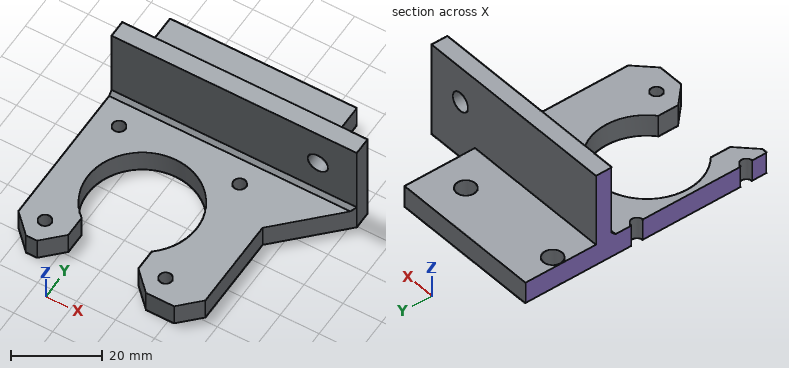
import cadquery as cq

plate_width = 48.0
plate_depth = 68.4
plate_thickness = 6.0
corner_chamfer = 5.0

wall_length = 63.0
wall_thickness = 4.5
wall_top = 26.0
wall_back_y = plate_depth - 20.0
wall_front_y = wall_back_y - wall_thickness
wall_root_chamfer = 1.0
overhang = wall_length - plate_width

motor_x = 21.8
motor_y = 21.3
motor_bore_diameter = 28.0
motor_slot_width = 18.0
screw_spacing = 31.0
screw_diameter = 3.2

fixing_diameter = 5.2
rear_hole_xs = (9.0, 39.0)
rear_hole_y = plate_depth - 10.0
wall_hole_x = 53.0
wall_hole_z = 16.0


def make_plate():
    """Flat plate with a 45 degree gusset under the overhanging wall."""
    outline = [
        (0, 0),
        (plate_width, 0),
        (plate_width, wall_front_y - overhang),
        (wall_length, wall_front_y),
        (wall_length, wall_back_y),
        (plate_width, wall_back_y),
        (plate_width, plate_depth),
        (0, plate_depth),
    ]
    return cq.Workplane("XY").polyline(outline).close().extrude(plate_thickness)


def make_wall():
    """Upright wall with a small sloped root, trimmed to the gusset edge."""
    profile = [
        (wall_back_y, 0),
        (wall_back_y, wall_top),
        (wall_front_y, wall_top),
        (wall_front_y, plate_thickness + wall_root_chamfer),
        (wall_front_y - wall_root_chamfer, plate_thickness),
        (wall_front_y - wall_root_chamfer, 0),
    ]
    wall = cq.Workplane("YZ").polyline(profile).close().extrude(wall_length)
    gusset_trim = (
        cq.Workplane("XY")
        .moveTo(wall_length, wall_front_y)
        .lineTo(wall_length, wall_front_y - overhang)
        .lineTo(plate_width, wall_front_y - overhang)
        .close()
        .extrude(wall_top)
    )
    return wall.cut(gusset_trim)


def cut_motor_opening(body):
    """Round opening joined to the front edge by a slot."""
    bore = (
        cq.Workplane("XY")
        .center(motor_x, motor_y)
        .circle(motor_bore_diameter / 2)
        .extrude(plate_thickness)
    )
    slot = (
        cq.Workplane("XY")
        .center(motor_x, motor_y / 2)
        .rect(motor_slot_width, motor_y)
        .extrude(plate_thickness)
    )
    return body.cut(bore.union(slot))


def chamfer_leg_tips(body):
    """Cut 45 degree corners on both sides of each front leg."""
    slot_left = motor_x - motor_slot_width / 2
    slot_right = motor_x + motor_slot_width / 2
    corners = [(0, 1), (slot_left, -1), (slot_right, 1), (plate_width, -1)]
    for corner_x, inward in corners:
        wedge = (
            cq.Workplane("XY")
            .moveTo(corner_x, 0)
            .lineTo(corner_x + inward * corner_chamfer, 0)
            .lineTo(corner_x, corner_chamfer)
            .close()
            .extrude(plate_thickness)
        )
        body = body.cut(wedge)
    return body


def drill_holes(body):
    """Motor screw holes, rear fixing holes and the hole through the wall."""
    screws = (
        cq.Workplane("XY")
        .center(motor_x, motor_y)
        .rect(screw_spacing, screw_spacing, forConstruction=True)
        .vertices()
        .circle(screw_diameter / 2)
        .extrude(plate_thickness)
    )
    rear_holes = (
        cq.Workplane("XY")
        .pushPoints([(x, rear_hole_y) for x in rear_hole_xs])
        .circle(fixing_diameter / 2)
        .extrude(plate_thickness)
    )
    wall_hole = (
        cq.Workplane("XZ", origin=(0, wall_back_y, 0))
        .center(wall_hole_x, wall_hole_z)
        .circle(fixing_diameter / 2)
        .extrude(wall_thickness)
    )
    return body.cut(screws).cut(rear_holes).cut(wall_hole)


bracket = make_plate().union(make_wall())
bracket = cut_motor_opening(bracket)
bracket = chamfer_leg_tips(bracket)
result = drill_holes(bracket)